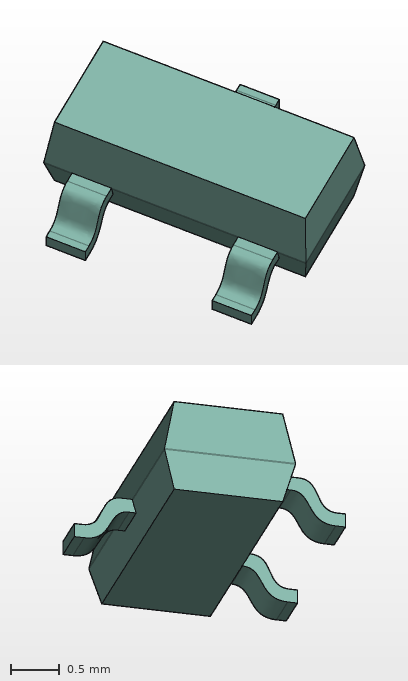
import cadquery as cq

body_length = 3.0
body_width = 1.4
body_bottom = 0.08
body_top = 1.08
band_bottom = 0.49
band_top = 0.5
end_inset = 0.065
side_inset = 0.12

lead_width = 0.45
lead_thickness = 0.15
lead_top = band_top
lead_span = 2.64
lead_root = 0.5
front_lead_offset = 0.95

upper_bend_start = 0.815
upper_bend_end = 1.235
upper_shoulder_handle = 0.265
upper_foot_handle = 0.265
lower_bend_start = 0.735
lower_bend_end = 1.215
lower_shoulder_handle = 0.245
lower_foot_handle = 0.325


def rectangle_wire(length, width, z):
    return cq.Wire.makePolygon(
        [
            cq.Vector(-length / 2, -width / 2, z),
            cq.Vector(length / 2, -width / 2, z),
            cq.Vector(length / 2, width / 2, z),
            cq.Vector(-length / 2, width / 2, z),
        ],
        close=True,
    )


def make_body():
    small_length = body_length - 2 * end_inset
    small_width = body_width - 2 * side_inset
    bottom_face = rectangle_wire(small_length, small_width, body_bottom)
    band_lower_edge = rectangle_wire(body_length, body_width, band_bottom)
    band_upper_edge = rectangle_wire(body_length, body_width, band_top)
    top_face = rectangle_wire(small_length, small_width, body_top)

    lower_half = cq.Workplane(cq.Solid.makeLoft([bottom_face, band_lower_edge], True))
    band = cq.Workplane(cq.Solid.makeLoft([band_lower_edge, band_upper_edge], True))
    upper_half = cq.Workplane(cq.Solid.makeLoft([band_upper_edge, top_face], True))
    return lower_half.union(band).union(upper_half)


def s_bend(start, end, shoulder_handle, foot_handle):
    """Control points of a Bezier curve that steps down from start to end and is level at both ends."""
    shoulder_control = (start[0] + shoulder_handle, start[1])
    foot_control = (end[0] - foot_handle, end[1])
    return [start, shoulder_control, foot_control, end]


def make_lead(x_center):
    """Lead that leaves the body on the +Y side, centred on x_center."""
    tip = lead_span / 2
    lead_underside = lead_top - lead_thickness
    upper_bend = s_bend(
        (upper_bend_start, lead_top),
        (upper_bend_end, lead_thickness),
        upper_shoulder_handle,
        upper_foot_handle,
    )
    lower_bend = s_bend(
        (lower_bend_start, lead_underside),
        (lower_bend_end, 0),
        lower_shoulder_handle,
        lower_foot_handle,
    )
    lower_bend.reverse()

    profile = cq.Workplane("YZ", origin=(x_center - lead_width / 2, 0, 0))
    profile = profile.moveTo(lead_root, lead_top).lineTo(*upper_bend[0]).bezier(upper_bend)
    profile = profile.lineTo(tip, lead_thickness).lineTo(tip, 0)
    profile = profile.lineTo(*lower_bend[0]).bezier(lower_bend)
    return profile.lineTo(lead_root, lead_underside).close().extrude(lead_width)


result = make_body().union(make_lead(0))
for side in (-1, 1):
    front_lead = make_lead(side * front_lead_offset).mirror("XZ")
    result = result.union(front_lead)